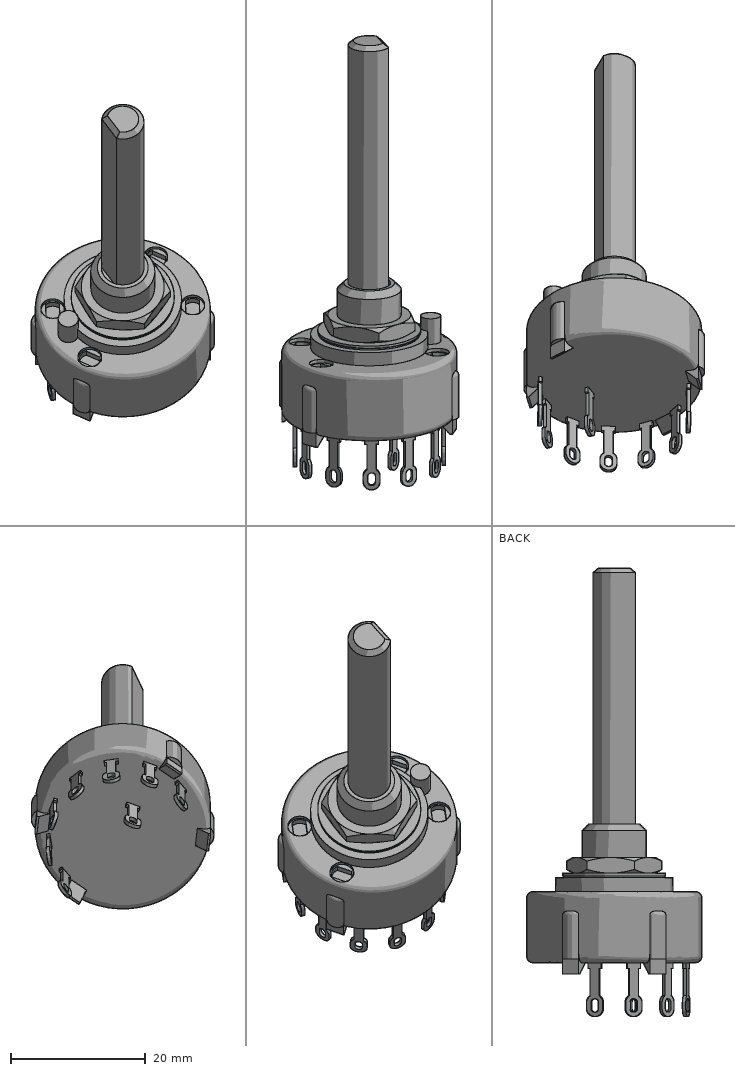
import cadquery as cq
import math


body_diameter = 26.0
body_bottom = 8.0
body_top = 18.55
body_edge_radius = 1.0

collar_diameter = 17.4
collar_top = 20.6
washer_step_diameter = 15.0
washer_step_top = 20.9
washer_diameter = 15.3
washer_top = 21.3
nut_top = 23.6
nut_flats = 12.3
nut_turn = -5.0
nut_chamfer_angle = 30.0
bushing_diameter = 9.5
bushing_top = 28.6
bushing_chamfer = 1.0

shaft_diameter = 6.3
shaft_top = 66.5
shaft_flat_distance = 2.4
shaft_socket_depth = 0.65
shaft_chamfer_axial = 0.65
shaft_chamfer_radial = 0.8

pin_diameter = 3.0
pin_top = 22.55
pin_offset = 9.5

clip_angles = (60, 120, 240, 300)
recess_diameter = 3.5
recess_radius = 10.4
recess_depth = 0.5
slot_diameter = 3.05
slot_width = 2.05
slot_depth = 1.0
rib_diameter = 3.5
rib_radius = 11.85
rib_bottom = 8.6
rib_top = 15.7
rib_edge_radius = 0.65
hook_outer_radius = 13.0
hook_width = 2.8
hook_tip_thickness = 0.3
hook_bottom = 6.3

terminal_angles = (75, 105, 135, 165, 195, 225, 255)
terminal_radius = 11.05
common_angle = 225
common_radius = 4.05
terminal_thickness = 0.5
stem_width = 1.4
shoulder_width = 2.05
shoulder_bottom = 7.1
eye_width = 2.5
eye_height = 3.3
eye_slot_width = 1.1
eye_slot_height = 2.0

overlap = 0.65


def disc(diameter, bottom, top):
    """Cylinder on the switch axis between two heights."""
    return cq.Workplane("XY").workplane(offset=bottom).circle(diameter / 2).extrude(top - bottom)


def place(shape, radius, angle):
    """Move a shape out along +X, then swing it about the switch axis."""
    return shape.translate((radius, 0, 0)).rotate((0, 0, 0), (0, 0, 1), angle)


def make_nut():
    """Hex nut with its corners cut back by a cone at both ends."""
    sides = 6
    corner_radius = nut_flats / 2 / math.cos(math.pi / sides)
    height = nut_top - washer_top
    drop = (corner_radius - nut_flats / 2) * math.tan(math.radians(nut_chamfer_angle))
    hexagon = (
        cq.Workplane("XY").workplane(offset=washer_top)
        .polygon(sides, 2 * corner_radius).extrude(height)
    )
    envelope = (
        cq.Workplane("XZ")
        .moveTo(0, washer_top)
        .lineTo(nut_flats / 2, washer_top)
        .lineTo(corner_radius, washer_top + drop)
        .lineTo(corner_radius, nut_top - drop)
        .lineTo(nut_flats / 2, nut_top)
        .lineTo(0, nut_top)
        .close()
        .revolve(360, (0, 0, 0), (0, 1, 0))
    )
    return hexagon.intersect(envelope).rotate((0, 0, 0), (0, 0, 1), nut_turn)


def make_shaft():
    """Round shaft with one flat facing -Y and a chamfered tip."""
    socket_floor = bushing_top - shaft_socket_depth
    tip_bottom = shaft_top - shaft_chamfer_axial
    rod = disc(shaft_diameter, socket_floor, shaft_top)
    rod = rod.faces(">Z").chamfer(shaft_chamfer_axial, shaft_chamfer_radial)
    outside_flat = (
        cq.Workplane("YZ")
        .moveTo(-shaft_diameter, socket_floor)
        .lineTo(-shaft_flat_distance, socket_floor)
        .lineTo(-shaft_flat_distance, tip_bottom)
        .lineTo(shaft_chamfer_radial - shaft_flat_distance, shaft_top)
        .lineTo(-shaft_diameter, shaft_top)
        .close()
        .extrude(shaft_diameter, both=True)
    )
    return rod.cut(outside_flat)


def make_recess():
    """Round pocket with a deeper flat-sided slot across its floor."""
    slot_top = body_top - recess_depth
    pocket = disc(recess_diameter, slot_top, body_top)
    strip = (
        cq.Workplane("XY").workplane(offset=slot_top)
        .rect(slot_width, recess_diameter).extrude(-slot_depth)
    )
    slot = disc(slot_diameter, slot_top - slot_depth, slot_top).intersect(strip)
    return pocket.union(slot)


def make_rib():
    """Upright half-buried post on the housing wall, rounded at its top."""
    return disc(rib_diameter, rib_bottom, rib_top).faces(">Z").edges().fillet(rib_edge_radius)


def make_hook():
    """Wedge below a rib: upright outer face at X = 0, inner face sloping at 45 degrees."""
    top = rib_bottom + overlap
    return (
        cq.Workplane("XZ")
        .moveTo(0, hook_bottom)
        .lineTo(0, top)
        .lineTo(-hook_tip_thickness - (top - hook_bottom), top)
        .lineTo(-hook_tip_thickness, hook_bottom)
        .close()
        .extrude(hook_width / 2, both=True)
    )


def make_terminal():
    """Flat solder lug: shoulder, stem and a slotted eye, facing along X."""
    top = body_bottom + overlap
    eye_centre = eye_height / 2

    def blade(width, bottom):
        return (
            cq.Workplane("YZ").center(0, (bottom + top) / 2)
            .rect(width, top - bottom).extrude(terminal_thickness / 2, both=True)
        )

    def oval(height, width):
        return (
            cq.Workplane("YZ").center(0, eye_centre)
            .slot2D(height, width, 90).extrude(terminal_thickness / 2, both=True)
        )

    lug = blade(shoulder_width, shoulder_bottom).union(blade(stem_width, eye_centre))
    return lug.union(oval(eye_height, eye_width)).cut(oval(eye_slot_height, eye_slot_width))


housing = disc(body_diameter, body_bottom, body_top).edges().fillet(body_edge_radius)
bushing = disc(bushing_diameter, body_top, bushing_top).faces(">Z").chamfer(bushing_chamfer)
bushing = bushing.cut(disc(shaft_diameter, bushing_top - shaft_socket_depth, bushing_top))
pin = disc(pin_diameter, body_top - overlap, pin_top).translate((0, -pin_offset, 0))

result = (
    housing
    .union(disc(collar_diameter, body_top, collar_top))
    .union(disc(washer_step_diameter, collar_top, washer_step_top))
    .union(disc(washer_diameter, washer_step_top, washer_top))
    .union(make_nut())
    .union(bushing)
    .union(make_shaft())
    .union(pin)
)

for angle in clip_angles:
    result = result.union(place(make_rib(), rib_radius, angle))
    result = result.union(place(make_hook(), hook_outer_radius, angle))
    result = result.cut(place(make_recess(), recess_radius, angle))

for angle in terminal_angles:
    result = result.union(place(make_terminal(), terminal_radius, angle))
result = result.union(place(make_terminal(), common_radius, common_angle))